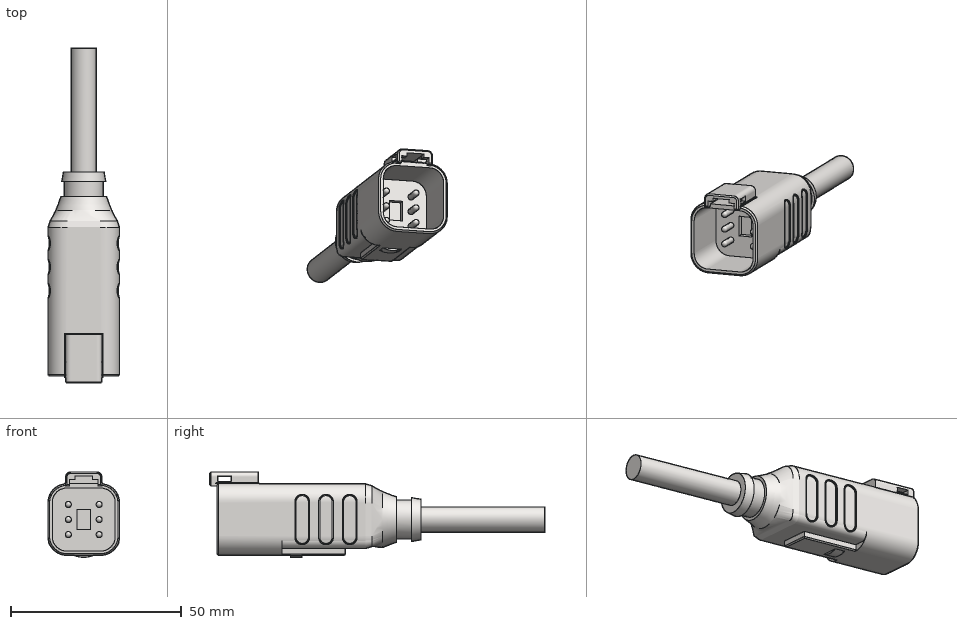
import cadquery as cq
import math


overall_length = 98.25
cable_radius = 7.5 / 2
neck_radius = 11.5 / 2
collar_end = 59.9
collar_front = 57.1
collar_small_radius = 6.0
collar_large_radius = 6.5
relief_end = 52.8
relief_end_radius = 6.7
relief_bend = 50.3
relief_bend_radius = 7.6
relief_front = 48.6
relief_front_radius = 8.3

body_half = 21.0 / 2
corner_radius = 5.6
corner_center = body_half - corner_radius
mouth_chamfer = 0.5
shoulder_end = 45.5
shoulder_front = 43.6
shoulder_inset = 0.6
step_y = 19.1
rear_bottom = -8.5
rear_corner_top = -6.3
rear_corner_radius = rear_corner_top - rear_bottom

socket_half = 9.2
socket_corner_radius = 4.2
socket_back_wall = 1.4
socket_depth = step_y - socket_back_wall
key_width = 3.9
key_height = 5.9
key_depth = 2.0
pin_radius = 0.9
pin_tip_fillet = 0.9 * pin_radius
pin_column = 4.5
pin_pitch = 4.4
pin_tip_y = 11.7
pin_root = 1.0

grip_count = 3
grip_width = 4.3
grip_height = 14.7
grip_depth = 0.34
grip_floor_margin = 0.34
grip_first_y = 25.1
grip_pitch = 7.0

hood_overhang = 2.1
hood_back = 12.2
hood_half_width = 5.3
hood_top = 14.0
hood_corner_radius = 1.5
hood_nose_bottom = 9.8
hood_edge_chamfer = 0.4
hood_room_half_width = 4.1
hood_room_top = 11.8
hood_room_back = 7.9
hood_groove_half_width = 2.6
hood_groove_top = 12.8
foot_flare = 0.4
foot_height = 0.3
window_front = 0.3
window_back = 4.2
window_bottom = 11.2
window_top = 12.7

pad_back = 37.7
pad_half_width = 4.9
pad_chamfer = 0.4
pad_overlap = 1.0
mark_back = 25.0
mark_front = 21.6
mark_half_width = 2.85
mark_height = 0.6


def section(y):
    """Sketch plane across the part at the given Y, with local axes +X and +Z."""
    return cq.Workplane("XZ", origin=(0, y, 0))


def box(half_width, y_front, y_back, z_bottom, z_top):
    """Box centred on X = 0."""
    y_middle = (y_front + y_back) / 2
    return (
        cq.Workplane("XY", origin=(0, y_middle, z_bottom))
        .rect(2 * half_width, y_back - y_front)
        .extrude(z_top - z_bottom)
    )


def rounded_bar(half, radius, y_front, y_back):
    """Square bar along Y with rounded long edges."""
    bar = section(y_back).rect(2 * half, 2 * half).extrude(y_back - y_front)
    return bar.edges("|Y").fillet(radius)


def arc_point(center, radius, degrees):
    angle = math.radians(degrees)
    return (center[0] + radius * math.cos(angle), center[1] + radius * math.sin(angle))


def mirrored(point):
    return (-point[0], point[1])


def rear_outline(y, inset):
    """Closed outline of the rear body: the mouth outline with a tighter, higher bottom."""
    side_radius = corner_radius - inset
    break_angle = math.degrees(math.asin((-rear_corner_top - corner_center) / corner_radius))
    break_x = arc_point((corner_center, 0), corner_radius, break_angle)[0]
    low_center = (break_x - rear_corner_radius, rear_corner_top)
    top_start = (corner_center, body_half - inset)
    top_middle = arc_point((corner_center, corner_center), side_radius, 45)
    top_end = (body_half - inset, corner_center)
    side_start = (body_half - inset, -corner_center)
    side_middle = arc_point((corner_center, -corner_center), side_radius, -break_angle / 2)
    side_end = arc_point((corner_center, -corner_center), side_radius, -break_angle)
    low_middle = arc_point(low_center, rear_corner_radius - inset, -45)
    low_end = (low_center[0], rear_bottom + inset)
    return (
        section(y)
        .moveTo(*top_start)
        .threePointArc(top_middle, top_end)
        .lineTo(*side_start)
        .threePointArc(side_middle, side_end)
        .threePointArc(low_middle, low_end)
        .lineTo(*mirrored(low_end))
        .threePointArc(mirrored(low_middle), mirrored(side_end))
        .threePointArc(mirrored(side_middle), mirrored(side_start))
        .lineTo(*mirrored(top_end))
        .threePointArc(mirrored(top_middle), mirrored(top_start))
        .close()
    )


def relief_outline(y):
    """Circle split into arcs that pair with the sides and corners of the body."""
    splits = [65, 25, -25, -37, -53, -127, -143, -155, -205, -245]
    start = splits[0]
    outline = section(y).moveTo(*arc_point((0, 0), relief_front_radius, start))
    for first, last in zip(splits, splits[1:] + [start - 360]):
        outline = outline.threePointArc(
            arc_point((0, 0), relief_front_radius, (first + last) / 2),
            arc_point((0, 0), relief_front_radius, last),
        )
    return outline.close()


def ruled_loft(outline_a, outline_b):
    return cq.Workplane(cq.Solid.makeLoft([outline_a.val(), outline_b.val()], True))


def make_round_parts():
    cable_end = overall_length - hood_overhang
    profile = [
        (0, relief_front),
        (relief_front_radius, relief_front),
        (relief_bend_radius, relief_bend),
        (relief_end_radius, relief_end),
        (neck_radius, relief_end),
        (neck_radius, collar_front),
        (collar_large_radius, collar_front),
        (collar_small_radius, collar_end),
        (cable_radius, collar_end),
        (cable_radius, cable_end),
        (0, cable_end),
    ]
    return cq.Workplane("XY").polyline(profile).close().revolve(360, (0, 0), (0, 1))


def make_body():
    front = rounded_bar(body_half, corner_radius, 0, step_y)
    front = front.faces("<Y").edges().chamfer(mouth_chamfer)
    rear = rear_outline(shoulder_front, 0).extrude(shoulder_front - step_y)
    shoulder = ruled_loft(rear_outline(shoulder_front, 0), rear_outline(shoulder_end, shoulder_inset))
    flare = ruled_loft(rear_outline(shoulder_end, shoulder_inset), relief_outline(relief_front))
    return front.union(rear).union(shoulder).union(flare)


def grip_slots(margin):
    """Prisms through the body whose outlines are the grips shrunk by a margin."""
    centers = [(grip_first_y + index * grip_pitch, 0) for index in range(grip_count)]
    return (
        cq.Workplane("YZ", origin=(-2 * body_half, 0, 0))
        .pushPoints(centers)
        .slot2D(grip_height - 2 * margin, grip_width - 2 * margin, 90)
        .extrude(4 * body_half)
    )


def cut_grips(body):
    """Sink the grips evenly below the flat sides and the rounded corners."""
    rim_depth = grip_depth / 2
    for margin, depth in [(0, rim_depth), (grip_floor_margin, grip_depth)]:
        core = rear_outline(shoulder_front, depth).extrude(shoulder_front - step_y)
        body = body.cut(grip_slots(margin).cut(core))
    return body


def make_pad():
    pad = box(pad_half_width, step_y, pad_back, -body_half, rear_bottom + pad_overlap)
    pad = pad.faces("<Z").edges(">Y or |Y").chamfer(pad_chamfer)
    mark = (
        section(mark_back)
        .moveTo(-mark_half_width, -body_half)
        .threePointArc((0, -body_half - mark_height), (mark_half_width, -body_half))
        .lineTo(mark_half_width, -body_half + pad_overlap)
        .lineTo(-mark_half_width, -body_half + pad_overlap)
        .close()
        .extrude(mark_back - mark_front)
    )
    return pad.union(mark)


def make_hood():
    hood = box(hood_half_width, -hood_overhang, hood_back, hood_nose_bottom, hood_top)
    hood = hood.edges("|Y and >Z").fillet(hood_corner_radius)
    hood = hood.faces("<Y").edges().chamfer(hood_edge_chamfer)
    foot = (
        cq.Workplane("XY", origin=(0, hood_back / 2, body_half))
        .rect(2 * (hood_half_width + foot_flare), hood_back + 2 * foot_flare)
        .extrude(foot_height, taper=45)
    )
    return hood.union(foot)


def cut_hood(part):
    """Open the hood at the front, with a raised centre groove and side windows."""
    room = box(hood_room_half_width, -hood_overhang, hood_room_back, body_half, hood_room_top)
    nose = box(hood_room_half_width, -hood_overhang, 0, 0, hood_room_top)
    groove = box(hood_groove_half_width, -hood_overhang, hood_room_back, body_half, hood_groove_top)
    window = box(2 * hood_half_width, window_front, window_back, window_bottom, window_top)
    return part.cut(room).cut(nose).cut(groove).cut(window)


def cut_socket(part):
    socket = rounded_bar(socket_half, socket_corner_radius, 0, socket_depth)
    key = section(socket_depth + key_depth).rect(key_width, key_height).extrude(key_depth)
    return part.cut(socket).cut(key)


def make_pins():
    centers = [(x, row * pin_pitch) for x in (-pin_column, pin_column) for row in (-1, 0, 1)]
    pin_back = socket_depth + pin_root
    pins = section(pin_back).pushPoints(centers).circle(pin_radius).extrude(pin_back - pin_tip_y)
    return pins.faces("<Y").edges().fillet(pin_tip_fillet)


part = cut_grips(make_body()).union(make_round_parts()).union(make_pad()).union(make_hood())
result = cut_hood(cut_socket(part)).union(make_pins())